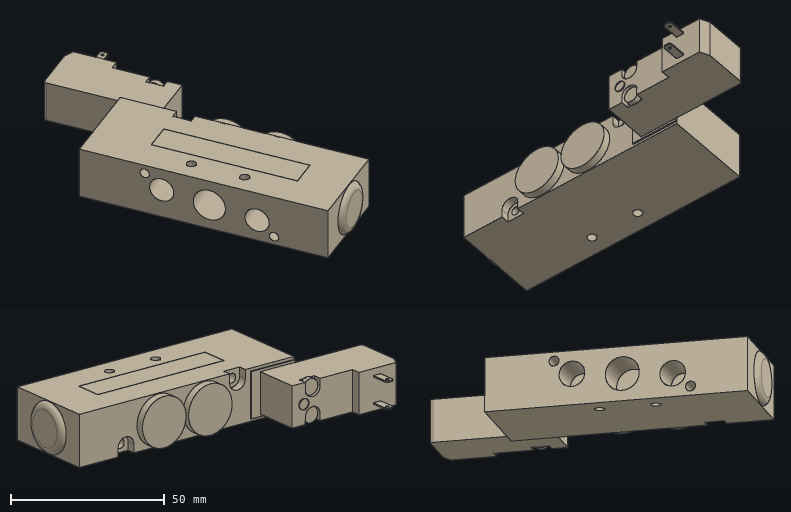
import cadquery as cq

TOTAL_LENGTH = 118.1
TOTAL_WIDTH = 60.9

PILOT_START_Y = 33.5
GASKET_THICKNESS = 0.53

HOUSING_START_X = 27.6
HOUSING_LENGTH = 88.7
HOUSING_WIDTH = PILOT_START_Y - GASKET_THICKNESS
HEIGHT = 18.5
HOUSING_END_X = HOUSING_START_X + HOUSING_LENGTH
MID_Z = HEIGHT / 2
CENTER_PORT_X = 74.0

BOSS_DIAMETER = 18.0
BOSS_HEIGHT = 3.0
BOSS_SPACING = 19.0
BOSS_CENTERS_X = (CENTER_PORT_X - BOSS_SPACING / 2, CENTER_PORT_X + BOSS_SPACING / 2)
BUTTON_DIAMETER = HEIGHT
BUTTON_HEIGHT = TOTAL_LENGTH - HOUSING_END_X
BUTTON_CENTER_Y = 17.0
BUTTON_ROUNDING = 2.8
BUTTON_SEAT_DEPTH = 1.8

CENTER_PORT_DIAMETER = 11.5
SIDE_PORT_DIAMETER = 8.6
SIDE_PORT_OFFSET_X = 17.0
SIDE_PORT_OFFSET_Z = 1.3
PORT_DEPTH = 14.2

MOUNT_HOLE_DIAMETER = 3.3
MOUNT_OFFSET_X = 23.0
MOUNT_OFFSET_Z = 6.1
COUNTERBORE_DIAMETER = 6.5
COUNTERBORE_DEPTH = 3.1

CROSS_HOLE_DIAMETER = 3.3
CROSS_HOLE_Y = 7.0

LABEL_START_X = 48.1
LABEL_START_Y = 11.9
LABEL_LENGTH = 52.1
LABEL_WIDTH = 10.0
LABEL_DEPTH = 0.06

GASKET_LENGTH = 18.1
GASKET_HEIGHT = 16.5

PILOT_LENGTH = 42.0
PILOT_HEIGHT = 14.8
PILOT_SHOULDER_Y = 50.4
PILOT_HEAD_Y = 53.9
PILOT_HEAD_LENGTH = 17.1
PILOT_SLOPE_X = 1.7
PILOT_SLOPE_Y = 3.5
PILOT_CORNER_ROUNDING = 1.1

SCREW_X = 33.5
SCREW_HEAD_DIAMETER = 5.8
SCREW_HEAD_HEIGHT = 2.0
SCREW_PROTRUSION = 0.4
SCREW_OFFSET_Z = PILOT_HEIGHT / 2 + SCREW_PROTRUSION - SCREW_HEAD_DIAMETER / 2
SCREW_POCKET_DIAMETER = 6.1
SCREW_POCKET_DEPTH = 3.1

OVERRIDE_X = 37.3
OVERRIDE_DIAMETER = 3.9
OVERRIDE_HEIGHT = 0.4

TERMINAL_X = 9.7
TERMINAL_WIDTH = 3.0
TERMINAL_THICKNESS = 0.5
TERMINAL_OFFSET_Z = 4.7
TERMINAL_CHAMFER = 0.6
TERMINAL_HOLE_DIAMETER = 1.0
TERMINAL_HOLE_TO_TIP = 1.7


def box_at(x, y, z, length, width, height):
    """Box with its minimum corner at (x, y, z)."""
    return cq.Workplane("XY").box(length, width, height, centered=False).translate((x, y, z))


def cylinder_along_y(x, y, z, diameter, length):
    """Cylinder that starts at (x, y, z) and runs toward +Y."""
    return cq.Workplane(cq.Solid.makeCylinder(diameter / 2, length, cq.Vector(x, y, z), cq.Vector(0, 1, 0)))


def cylinder_along_z(x, y, z, diameter, length):
    """Cylinder that starts at (x, y, z) and runs toward +Z."""
    return cq.Workplane(cq.Solid.makeCylinder(diameter / 2, length, cq.Vector(x, y, z)))


def open_slot_along_y(x, y, center_z, diameter, length, edge_z):
    """Round pocket along +Y whose straight sides open out at the height edge_z."""
    lower_z = min(center_z, edge_z)
    opening = box_at(x - diameter / 2, y, lower_z, diameter, length, abs(edge_z - center_z))
    return cylinder_along_y(x, y, center_z, diameter, length).union(opening)


def make_end_button():
    """Round button with a rounded rim on the +X end of the housing."""
    return (
        cq.Workplane("YZ", origin=(HOUSING_END_X - BUTTON_SEAT_DEPTH, BUTTON_CENTER_Y, MID_Z))
        .circle(BUTTON_DIAMETER / 2)
        .extrude(BUTTON_SEAT_DEPTH + BUTTON_HEIGHT)
        .faces(">X")
        .edges()
        .fillet(BUTTON_ROUNDING)
    )


def make_housing():
    housing = box_at(HOUSING_START_X, 0, 0, HOUSING_LENGTH, HOUSING_WIDTH, HEIGHT)
    housing = housing.union(make_end_button())

    for x in BOSS_CENTERS_X:
        housing = housing.union(cylinder_along_y(x, HOUSING_WIDTH, MID_Z, BOSS_DIAMETER, BOSS_HEIGHT))
        housing = housing.cut(cylinder_along_z(x, CROSS_HOLE_Y, 0, CROSS_HOLE_DIAMETER, HEIGHT))

    housing = housing.cut(cylinder_along_y(CENTER_PORT_X, 0, MID_Z, CENTER_PORT_DIAMETER, PORT_DEPTH))
    counterbore_y = HOUSING_WIDTH - COUNTERBORE_DEPTH
    for side in (-1, 1):
        port_x = CENTER_PORT_X + side * SIDE_PORT_OFFSET_X
        port_z = MID_Z - side * SIDE_PORT_OFFSET_Z
        mount_x = CENTER_PORT_X + side * MOUNT_OFFSET_X
        edge_z = MID_Z - side * HEIGHT / 2
        mount_z = MID_Z - side * MOUNT_OFFSET_Z
        housing = housing.cut(cylinder_along_y(port_x, 0, port_z, SIDE_PORT_DIAMETER, PORT_DEPTH))
        housing = housing.cut(cylinder_along_y(mount_x, 0, mount_z, MOUNT_HOLE_DIAMETER, HOUSING_WIDTH))
        housing = housing.cut(
            open_slot_along_y(
                mount_x, counterbore_y, mount_z, COUNTERBORE_DIAMETER, COUNTERBORE_DEPTH, edge_z
            )
        )

    label_recess = box_at(
        LABEL_START_X, LABEL_START_Y, HEIGHT - LABEL_DEPTH, LABEL_LENGTH, LABEL_WIDTH, LABEL_DEPTH
    )
    return housing.cut(label_recess)


def make_gasket():
    return box_at(
        HOUSING_START_X,
        HOUSING_WIDTH,
        MID_Z - GASKET_HEIGHT / 2,
        GASKET_LENGTH,
        GASKET_THICKNESS,
        GASKET_HEIGHT,
    )


def make_terminal(center_z):
    """Flat blade terminal with a chamfered tip and a wire hole."""
    bottom_z = center_z - TERMINAL_THICKNESS / 2
    blade = box_at(
        TERMINAL_X - TERMINAL_WIDTH / 2,
        PILOT_HEAD_Y,
        bottom_z,
        TERMINAL_WIDTH,
        TOTAL_WIDTH - PILOT_HEAD_Y,
        TERMINAL_THICKNESS,
    )
    blade = blade.faces(">Y").edges("|Z").chamfer(TERMINAL_CHAMFER)
    hole_y = TOTAL_WIDTH - TERMINAL_HOLE_TO_TIP
    return blade.cut(
        cylinder_along_z(TERMINAL_X, hole_y, bottom_z, TERMINAL_HOLE_DIAMETER, TERMINAL_THICKNESS)
    )


def make_pilot_block():
    """Stepped block with a sloped upper corner and a rounded lower corner at its -X end."""
    outline = [
        (0, PILOT_START_Y),
        (PILOT_LENGTH, PILOT_START_Y),
        (PILOT_LENGTH, PILOT_SHOULDER_Y),
        (PILOT_HEAD_LENGTH, PILOT_SHOULDER_Y),
        (PILOT_HEAD_LENGTH, PILOT_HEAD_Y),
        (PILOT_SLOPE_X, PILOT_HEAD_Y),
        (0, PILOT_HEAD_Y - PILOT_SLOPE_Y),
    ]
    block = (
        cq.Workplane("XY", origin=(0, 0, MID_Z - PILOT_HEIGHT / 2))
        .polyline(outline)
        .close()
        .extrude(PILOT_HEIGHT)
    )
    return block.edges("|Z and <X and <Y").fillet(PILOT_CORNER_ROUNDING)


def make_pilot():
    pilot = make_pilot_block()
    pocket_y = PILOT_SHOULDER_Y - SCREW_POCKET_DEPTH

    for side in (-1, 1):
        edge_z = MID_Z + side * PILOT_HEIGHT / 2
        screw_z = MID_Z + side * SCREW_OFFSET_Z
        pilot = pilot.cut(
            open_slot_along_y(
                SCREW_X, pocket_y, screw_z, SCREW_POCKET_DIAMETER, SCREW_POCKET_DEPTH, edge_z
            )
        )
        pilot = pilot.union(
            cylinder_along_y(SCREW_X, pocket_y, screw_z, SCREW_HEAD_DIAMETER, SCREW_HEAD_HEIGHT)
        )
        pilot = pilot.union(make_terminal(MID_Z + side * TERMINAL_OFFSET_Z))

    return pilot.union(
        cylinder_along_y(OVERRIDE_X, PILOT_SHOULDER_Y, MID_Z, OVERRIDE_DIAMETER, OVERRIDE_HEIGHT)
    )


housing = make_housing()
gasket = make_gasket()
pilot = make_pilot()

result = cq.Compound.makeCompound([housing.val(), gasket.val(), pilot.val()])